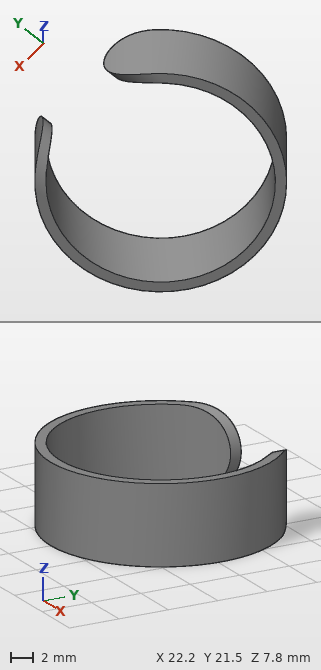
import cadquery as cq

outer_radius = 11.12
wall = 1.0
height = 7.8
gap_width = 8.0

inner_radius = outer_radius - wall
end_radius = height / 2
end_center_x = gap_width / 2 + end_radius


def full_ring():
    return cq.Workplane("XY").circle(outer_radius).circle(inner_radius).extrude(height)


def gap_cutter():
    """Block on the +Y side, hollowed by the round outline of each ring end."""
    block = cq.Workplane("XY").box(
        2 * end_center_x, outer_radius, height, centered=(True, False, False)
    )
    round_ends = (
        cq.Workplane("XZ")
        .pushPoints([(side * end_center_x, height / 2) for side in (-1, 1)])
        .circle(end_radius)
        .extrude(-outer_radius)
    )
    return block.cut(round_ends)


result = full_ring().cut(gap_cutter())